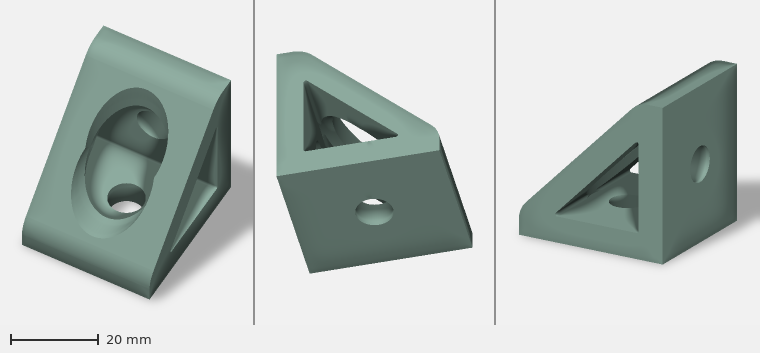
import cadquery as cq
import math

width = 33.25
leg = 38.1
wall = 6.35
flat = 3.75
nose_radius = 6.4
corner_radius = 0.5
bolt_diameter = 8.75
access_diameter = 19.05
hole_offset = leg / 2

slope_angle = math.radians(45)
nose_run = nose_radius * math.sin(slope_angle)
nose_drop = nose_radius * (1 - math.cos(slope_angle))
slope_start = flat + nose_run
slope_height = leg - nose_drop
mid_run = nose_radius * math.sin(slope_angle / 2)
mid_drop = nose_radius * (1 - math.cos(slope_angle / 2))

opening_leg = slope_start + slope_height - wall * math.sqrt(2) - 2 * wall


def make_body():
    """Triangular block with rounded noses, extruded across the width."""
    return (
        cq.Workplane("YZ")
        .moveTo(0, 0)
        .lineTo(0, leg)
        .lineTo(-flat, leg)
        .threePointArc((-flat - mid_run, leg - mid_drop), (-slope_start, slope_height))
        .lineTo(-slope_height, slope_start)
        .threePointArc((mid_drop - leg, flat + mid_run), (-leg, flat))
        .lineTo(-leg, 0)
        .close()
        .extrude(width / 2, both=True)
    )


def make_opening():
    """Triangular passage through the whole width."""
    return (
        cq.Workplane("YZ")
        .moveTo(-wall, wall)
        .lineTo(-wall, wall + opening_leg)
        .lineTo(-wall - opening_leg, wall)
        .close()
        .extrude(width / 2, both=True)
        .edges("|X")
        .fillet(corner_radius)
    )


def make_bolt_cutter(direction):
    """Bolt hole through one leg and head access through the slope."""
    if direction.z:
        start = cq.Vector(0, -hole_offset, 0)
    else:
        start = cq.Vector(0, 0, hole_offset)
    bolt = cq.Solid.makeCylinder(bolt_diameter / 2, leg, start, direction)
    access = cq.Solid.makeCylinder(access_diameter / 2, leg, start + direction * wall, direction)
    return bolt.fuse(access)


result = make_body().cut(make_opening())
for axis in (cq.Vector(0, 0, 1), cq.Vector(0, -1, 0)):
    result = result.cut(cq.Workplane(obj=make_bolt_cutter(axis)))